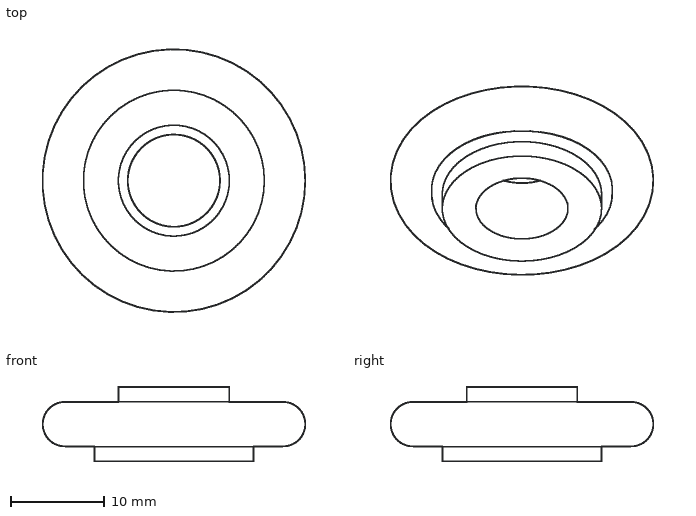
import cadquery as cq

outer_diameter = 28.23
hub_height = 8.0

ring_section_radius = 2.4
ring_center_radius = outer_diameter / 2 - ring_section_radius

bore_radius = 4.95
boss_radius = 5.95
flange_radius = 8.55
disc_radius = 9.7
disc_thickness = 3.87
disc_edge_radius = 0.1


def cylinder(radius, bottom, top):
    """Cylinder on the Z axis between two heights."""
    return cq.Workplane("XY").workplane(offset=bottom).circle(radius).extrude(top - bottom)


def make_ring():
    """Torus around the Z axis, its section swept one full turn."""
    return (
        cq.Workplane("XZ")
        .center(ring_center_radius, 0)
        .circle(ring_section_radius)
        .revolve(360, (-ring_center_radius, 0), (-ring_center_radius, 1))
    )


def make_hub(ring):
    """Round-edged disc with a boss above, a wider flange below and a through bore."""
    disc_top = disc_thickness / 2
    hub_top = hub_height / 2
    disc = cylinder(disc_radius, -disc_top, disc_top).edges().fillet(disc_edge_radius)
    boss = cylinder(boss_radius, 0, hub_top)
    flange = cylinder(flange_radius, -hub_top, 0)
    bore = cylinder(bore_radius, -hub_top, hub_top)
    return disc.union(boss).union(flange).cut(bore).cut(ring)


ring = make_ring()
hub = make_hub(ring)

result = cq.Compound.makeCompound([hub.solids().val(), ring.val()])